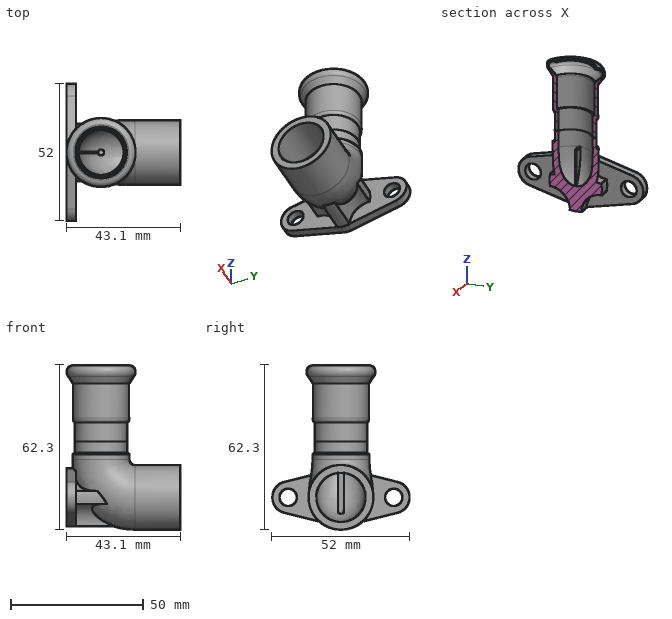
import cadquery as cq
import math


port_radius = 24.5 / 2
port_bore_radius = 18.6 / 2
port_end_x = 30.0
neck_radius = 21.6 / 2
tube_bore_radius = 17.0 / 2
bend_x = 12.8
bend_z = 14.25
bend_bulge = 0.4
bend_steps = 6
shoulder_z = 16.25
spigot_base_z = 16.9
joint_z = 21.1

tube_radius = 20.0 / 2
socket_radius = 21.3 / 2
socket_bore_radius = 18.2 / 2
socket_base_z = 28.3
socket_step_height = 1.75
socket_top_z = 43.0
sleeve_top_z = 50.0
bead_outer_radius = 13.1
bead_round = 2.55
bead_wall = 0.95
bead_cone_z = 45.75
mouth_radius = 18.8 / 2
mouth_chamfer = 0.4
lead_in_radius = 18.6 / 2
lead_in_height = 0.75

plate_x = -13.1
plate_length = 52.0
plate_thickness = 3.6
plate_corner_radius = 6.05
plate_half_height = 11.0
hole_offset = plate_length / 2 - plate_corner_radius
hole_radius = 6.5 / 2

boss_radius = plate_half_height
boss_arm_half_width = 2.5
boss_end_x = 4.35

rib_width = 0.75
post_radius = 1.1
rib_top_z = bend_z


def bend(start_radius, end_radius):
    """Quarter bend from the vertical neck to the horizontal port, round at every section."""
    sections = []
    for step in range(bend_steps + 1):
        angle = math.radians(90 * step / bend_steps)
        share = math.sin(angle) ** 2
        bulge = bend_bulge * math.sin(2 * angle) ** 2
        outward = cq.Vector(-math.cos(angle), 0, -math.sin(angle))
        along = cq.Vector(math.sin(angle), 0, -math.cos(angle))
        centre_distance = bend_x + (bend_z - bend_x) * share + bulge
        centre = cq.Vector(bend_x, 0, bend_z) + outward * centre_distance
        radius = start_radius + (end_radius - start_radius) * share + bulge
        plane = cq.Plane(origin=centre, xDir=outward, normal=along)
        sections.append(cq.Workplane(plane).circle(radius).wires().val())
    return cq.Workplane(cq.Solid.makeLoft(sections))


def cylinder_x(radius, start, end):
    return cq.Workplane("YZ", origin=(start, 0, 0)).circle(radius).extrude(end - start)


def cylinder_z(radius, start, end):
    return cq.Workplane("XY", origin=(0, 0, start)).circle(radius).extrude(end - start)


def make_neck():
    """Straight neck with a chamfered shoulder and the spigot that carries the sleeve."""
    return (
        cq.Workplane("XZ")
        .moveTo(0, bend_z)
        .lineTo(neck_radius, bend_z)
        .lineTo(neck_radius, shoulder_z)
        .lineTo(tube_radius, spigot_base_z)
        .lineTo(tube_radius, joint_z)
        .lineTo(0, joint_z)
        .close()
        .revolve(360, (0, 0, 0), (0, 1, 0))
    )


def make_plate():
    """Flat diamond flange with four equal round corners and two screw holes."""
    corner_height = plate_half_height - plate_corner_radius
    side_angle = math.atan2(corner_height, hole_offset)
    tangent_y = plate_corner_radius * math.sin(side_angle)
    tangent_z = plate_corner_radius * math.cos(side_angle)
    side_y = hole_offset + tangent_y
    apex_z = corner_height + tangent_z
    return (
        cq.Workplane("YZ", origin=(plate_x, 0, 0))
        .moveTo(side_y, tangent_z)
        .lineTo(tangent_y, apex_z)
        .threePointArc((0, plate_half_height), (-tangent_y, apex_z))
        .lineTo(-side_y, tangent_z)
        .threePointArc((-hole_offset - plate_corner_radius, 0), (-side_y, -tangent_z))
        .lineTo(-tangent_y, -apex_z)
        .threePointArc((0, -plate_half_height), (tangent_y, -apex_z))
        .lineTo(side_y, -tangent_z)
        .threePointArc((hole_offset + plate_corner_radius, 0), (side_y, tangent_z))
        .close()
        .pushPoints([(-hole_offset, 0), (hole_offset, 0)])
        .circle(hole_radius)
        .extrude(plate_thickness)
    )


def make_boss():
    """Round boss with four concave flutes that leave a cross."""
    arm_tip = math.sqrt(boss_radius**2 - boss_arm_half_width**2)
    flute_radius = arm_tip - boss_arm_half_width
    start = plate_x + plate_thickness
    flutes = (
        cq.Workplane("YZ", origin=(start, 0, 0))
        .rect(2 * arm_tip, 2 * arm_tip, forConstruction=True)
        .vertices()
        .circle(flute_radius)
        .extrude(boss_end_x - start)
    )
    return cylinder_x(boss_radius, start, boss_end_x).cut(flutes)


def make_rib(envelope):
    """Upright rib and post, trimmed to the outer shape of the elbow."""
    height = rib_top_z + port_radius
    rib = cq.Workplane("XY", origin=(-neck_radius / 2, 0, -port_radius)).rect(neck_radius, rib_width)
    post = cylinder_z(post_radius, -port_radius, rib_top_z)
    return rib.extrude(height).union(post).intersect(envelope)


def make_elbow():
    envelope = bend(neck_radius, port_radius)
    bore = (
        bend(tube_bore_radius, port_bore_radius)
        .union(cylinder_z(tube_bore_radius, bend_z, joint_z))
        .union(cylinder_x(port_bore_radius, bend_x, port_end_x))
    )
    return (
        envelope.union(make_neck())
        .union(cylinder_x(port_radius, bend_x, port_end_x))
        .union(make_plate())
        .union(make_boss())
        .cut(bore)
        .union(make_rib(envelope))
    )


def make_sleeve():
    """Revolved press sleeve with a stepped socket and a hollow sealing bead."""
    bead_r = bead_outer_radius - bead_round
    bead_z = sleeve_top_z - bead_round
    cone_r = bead_r + math.sqrt(bead_round**2 - (bead_z - bead_cone_z) ** 2)
    groove_round = bead_round - bead_wall
    lip_z = bead_z + groove_round
    groove_low_r = bead_r + groove_round * math.cos(math.radians(45))
    groove_low_z = bead_z - groove_round * math.sin(math.radians(45))
    step_top_z = socket_base_z + socket_step_height
    arc_share = math.cos(math.radians(45))
    return (
        cq.Workplane("XZ")
        .moveTo(tube_bore_radius, joint_z)
        .lineTo(tube_radius, joint_z)
        .lineTo(tube_radius, socket_base_z)
        .threePointArc(
            (
                tube_radius + (socket_radius - tube_radius) * arc_share,
                step_top_z - socket_step_height * arc_share,
            ),
            (socket_radius, step_top_z),
        )
        .lineTo(socket_radius, socket_top_z)
        .lineTo(cone_r, bead_cone_z)
        .threePointArc((bead_outer_radius, bead_z), (bead_r, sleeve_top_z))
        .lineTo(mouth_radius + mouth_chamfer, sleeve_top_z)
        .lineTo(mouth_radius, sleeve_top_z - mouth_chamfer)
        .lineTo(mouth_radius, lip_z)
        .lineTo(bead_r, lip_z)
        .threePointArc((bead_r + groove_round, bead_z), (groove_low_r, groove_low_z))
        .lineTo(lead_in_radius, socket_top_z + lead_in_height)
        .lineTo(socket_bore_radius, socket_top_z)
        .lineTo(socket_bore_radius, step_top_z)
        .lineTo(tube_bore_radius, step_top_z)
        .close()
        .revolve(360, (0, 0, 0), (0, 1, 0))
    )


elbow = make_elbow()
sleeve = make_sleeve()

result = cq.Compound.makeCompound([elbow.val(), sleeve.val()])